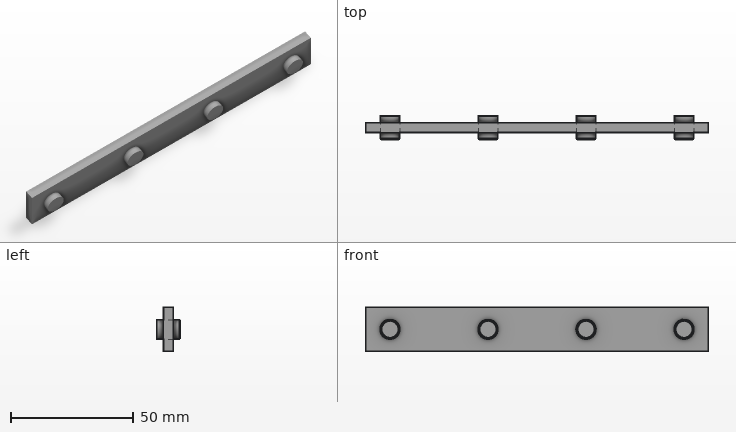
import cadquery as cq

plate_length = 140.0
plate_thickness = 4.0
plate_height = 18.0

pin_count = 4
pin_spacing = 40.0
pin_diameter = 8.0
pin_front_reach = 3.0
pin_back_reach = 2.8
pin_chamfer = 0.5

pin_length = pin_front_reach + plate_thickness + pin_back_reach
pin_back_y = plate_thickness / 2 + pin_back_reach
pin_row_length = (pin_count - 1) * pin_spacing
pin_positions = [i * pin_spacing - pin_row_length / 2 for i in range(pin_count)]


def make_plate():
    """Rectangular bar with one through hole per pin."""
    plate = cq.Workplane("XY").box(plate_length, plate_thickness, plate_height)
    hole_centres = [(x, 0) for x in pin_positions]
    return plate.faces("<Y").workplane(origin=(0, 0, 0)).pushPoints(hole_centres).hole(pin_diameter)


def make_pin(x):
    """Round pin extruded from its back end toward -Y, with the front end chamfered."""
    back_plane = cq.Workplane("XZ", origin=(x, pin_back_y, 0))
    pin = back_plane.circle(pin_diameter / 2).extrude(pin_length)
    return pin.faces("<Y").edges().chamfer(pin_chamfer)


plate = make_plate()
pins = [make_pin(x) for x in pin_positions]

result = cq.Compound.makeCompound([plate.solids().val(), *[pin.solids().val() for pin in pins]])